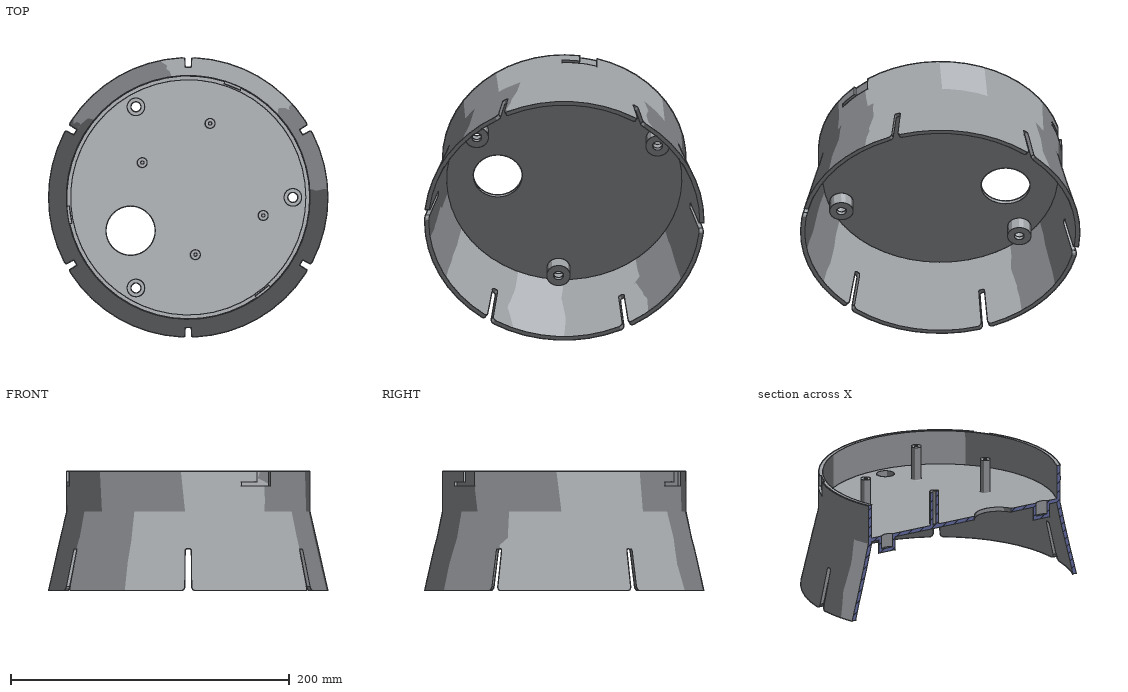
import cadquery as cq
import math

base_diameter = 200.5
total_height = 85.8
collar_diameter = 174.8
collar_bore = 168.6
collar_height = 29.3
wall = (collar_diameter - collar_bore) / 2
skirt_height = total_height - collar_height
rim_chamfer = 0.5

floor_depth = 25.3
floor_top = total_height - floor_depth
floor_bottom = floor_top - wall

slit_count = 6
first_slit_angle = 180 / slit_count
slit_top_width = 4.2
slit_bottom_width = 4.8
slit_height = 30.0
slit_top_radius = 1.5
flap_corner_radius = 3.0

bayonet_count = 3
bayonet_start = 72.5
bayonet_entry_sweep = 8.3
bayonet_total_sweep = 16.7
bayonet_depth = 2.0
bayonet_bottom = 10.8
bayonet_track_height = 3.0

mount_count = 3
mount_circle_radius = 75.0
mount_hole = 7.0
mount_counterbore = 12.6
mount_counterbore_depth = 10.0
mount_boss = 16.8
mount_boss_floor = 3.0

cable_hole = 35.0
cable_radius = 47.7
cable_angle = 210.0

layout_angle = 30.0
post_pattern_offset = 12.0
post_spacing_x = 56.1
post_spacing_y = 76.2
post_diameter = 7.0
post_hole = 2.5
post_height = floor_depth
post_foot_fillet = 0.8


def cylinder(diameter, bottom, top, points):
    """Upright cylinders between two heights at the given points."""
    plane = cq.Workplane("XY", origin=(0, 0, bottom))
    return plane.pushPoints(points).circle(diameter / 2).extrude(top - bottom)


def polar(radius, angle):
    return (radius * math.cos(math.radians(angle)), radius * math.sin(math.radians(angle)))


def make_shell():
    """Collar, skirt and floor as one turned profile."""
    base_r = base_diameter / 2
    collar_r = collar_diameter / 2
    bore_r = collar_bore / 2
    profile = [
        (0, floor_bottom),
        (bore_r, floor_bottom),
        (bore_r, skirt_height),
        (base_r - wall, 0),
        (base_r, 0),
        (collar_r, skirt_height),
        (collar_r, total_height - rim_chamfer),
        (collar_r - rim_chamfer, total_height),
        (bore_r, total_height),
        (bore_r, floor_top),
        (0, floor_top),
    ]
    return cq.Workplane("XZ").polyline(profile).close().revolve(360, (0, 0, 0), (0, 1, 0))


def make_slit():
    """One slit along +X, tapering upward, with rounded top corners and rounded flap corners."""
    top_half = slit_top_width / 2
    bottom_half = slit_bottom_width / 2
    slot = (
        cq.Workplane("YZ")
        .polyline([
            (-bottom_half, 0),
            (bottom_half, 0),
            (top_half, slit_height),
            (-top_half, slit_height),
        ])
        .close()
        .extrude(base_diameter)
        .edges(">Z and |X")
        .fillet(slit_top_radius)
    )
    flare = flap_corner_radius
    mouth = (
        cq.Workplane("YZ")
        .moveTo(-bottom_half - flare, 0)
        .radiusArc((-bottom_half, flare), -flare)
        .lineTo(bottom_half, flare)
        .radiusArc((bottom_half + flare, 0), -flare)
        .close()
        .extrude(base_diameter)
    )
    return slot.union(mouth)


def groove_sector(sweep, bottom, top):
    """Shallow groove in the collar's outer face, running clockwise from the bayonet start."""
    inner_r = collar_diameter / 2 - bayonet_depth
    outer_r = base_diameter / 2
    return (
        cq.Workplane("XZ")
        .polyline([(inner_r, bottom), (outer_r, bottom), (outer_r, top), (inner_r, top)])
        .close()
        .revolve(sweep, (0, 0, 0), (0, 1, 0))
        .rotate((0, 0, 0), (0, 0, 1), bayonet_start - sweep)
    )


def make_bayonet():
    """L-shaped groove: an entry open at the rim and a track along the collar."""
    bottom = total_height - bayonet_bottom
    entry = groove_sector(bayonet_entry_sweep, bottom, total_height)
    track = groove_sector(bayonet_total_sweep, bottom, bottom + bayonet_track_height)
    return entry.union(track)


def cut_around(body, cutter, count, first_angle):
    """Cut equally spaced copies of the cutter around the Z axis."""
    for i in range(count):
        body = body.cut(cutter.rotate((0, 0, 0), (0, 0, 1), first_angle + i * 360 / count))
    return body


def add_mounts(body):
    """Bosses under the floor, with counterbored holes from above."""
    points = [polar(mount_circle_radius, i * 360 / mount_count) for i in range(mount_count)]
    counterbore_floor = floor_top - mount_counterbore_depth
    boss_bottom = counterbore_floor - mount_boss_floor
    body = body.union(cylinder(mount_boss, boss_bottom, floor_top, points))
    body = body.cut(cylinder(mount_counterbore, counterbore_floor, floor_top, points))
    return body.cut(cylinder(mount_hole, boss_bottom, floor_top, points))


def make_posts():
    """Four posts with filleted feet and blind screw holes."""
    points = [
        (post_pattern_offset + sx * post_spacing_x / 2, sy * post_spacing_y / 2)
        for sx in (-1, 1)
        for sy in (-1, 1)
    ]
    post_top = floor_top + post_height
    foot_radius = post_diameter / 2 + post_foot_fillet
    post = (
        cq.Workplane("XZ")
        .moveTo(0, floor_bottom)
        .lineTo(foot_radius, floor_bottom)
        .lineTo(foot_radius, floor_top)
        .radiusArc((post_diameter / 2, floor_top + post_foot_fillet), post_foot_fillet)
        .lineTo(post_diameter / 2, post_top)
        .lineTo(0, post_top)
        .close()
        .revolve(360, (0, 0, 0), (0, 1, 0))
        .cut(cylinder(post_hole, floor_top, post_top, [(0, 0)]))
    )
    posts = cq.Workplane("XY")
    for x, y in points:
        posts = posts.add(post.translate((x, y, 0)))
    posts = posts.combine()
    return posts.rotate((0, 0, 0), (0, 0, 1), layout_angle)


result = make_shell()
result = cut_around(result, make_slit(), slit_count, first_slit_angle)
result = cut_around(result, make_bayonet(), bayonet_count, 0)
result = add_mounts(result)
result = result.cut(cylinder(cable_hole, floor_bottom, floor_top, [polar(cable_radius, cable_angle)]))
result = result.union(make_posts())